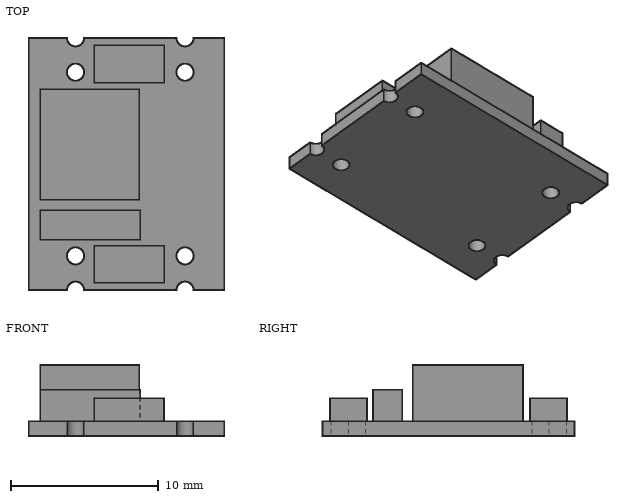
import cadquery as cq

board_width = 13.3
board_length = 17.15
board_thickness = 1.03
total_height = 4.85

hole_diameter = 1.15
terminal_pitch = 7.45
terminal_center_x = 0.25
hole_edge_distance = 2.33

small_width = 4.73
small_length = 2.52
small_height = 1.56
small_center_x = 0.19
small_edge_gap = 0.51

component_left = -5.87
large_width = 6.74
large_length = 7.51
large_front = -2.44
bar_width = 6.8
bar_length = 2.0
bar_front = -5.15
bar_height = 2.15


def component(left, front, width, length, height):
    """Rectangular component standing on the board."""
    return cq.Workplane("XY").box(width, length, height, centered=False).translate(
        (left, front, board_thickness)
    )


def drilled_board():
    """Board with its through holes and edge notches."""
    board = cq.Workplane("XY").box(
        board_width, board_length, board_thickness, centered=(True, True, False)
    )
    edge_y = board_length / 2
    hole_y = edge_y - hole_edge_distance
    centers = []
    for x in (terminal_center_x - terminal_pitch / 2, terminal_center_x + terminal_pitch / 2):
        for y in (-edge_y, -hole_y, hole_y, edge_y):
            centers.append((x, y))
    drills = cq.Workplane("XY").pushPoints(centers).circle(hole_diameter / 2).extrude(board_thickness)
    return board.cut(drills)


result = drilled_board()

small_left = small_center_x - small_width / 2
small_outer_y = board_length / 2 - small_edge_gap
for small_front in (-small_outer_y, small_outer_y - small_length):
    result = result.union(component(small_left, small_front, small_width, small_length, small_height))

large_height = total_height - board_thickness
result = result.union(component(component_left, large_front, large_width, large_length, large_height))

result = result.union(component(component_left, bar_front, bar_width, bar_length, bar_height))